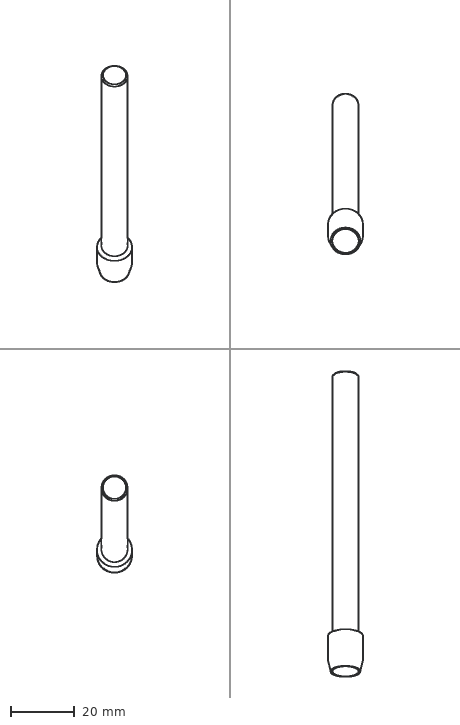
import cadquery as cq

total_length = 100.0
rod_diameter = 8.2
rod_chamfer = 0.5

collar_diameter = 11.0
collar_height = 12.6
collar_tip_diameter = 9.3
taper_height = 3.8
shoulder_drop = 0.6

rod_radius = rod_diameter / 2
collar_radius = collar_diameter / 2
collar_tip_radius = collar_tip_diameter / 2


def make_rod():
    """Round rod along Z with a chamfered upper end."""
    return (
        cq.Workplane("XY")
        .circle(rod_radius)
        .extrude(total_length)
        .faces(">Z")
        .chamfer(rod_chamfer)
    )


def make_collar():
    """Revolved sleeve with a tapered lower end and a sloping upper shoulder."""
    profile = [
        (rod_radius, 0),
        (collar_tip_radius, 0),
        (collar_radius, taper_height),
        (collar_radius, collar_height - shoulder_drop),
        (rod_radius, collar_height),
    ]
    return (
        cq.Workplane("XZ")
        .polyline(profile)
        .close()
        .revolve(360, (0, 0), (0, 1))
    )


rod = make_rod()
collar = make_collar()

result = cq.Compound.makeCompound([rod.val(), collar.val()])